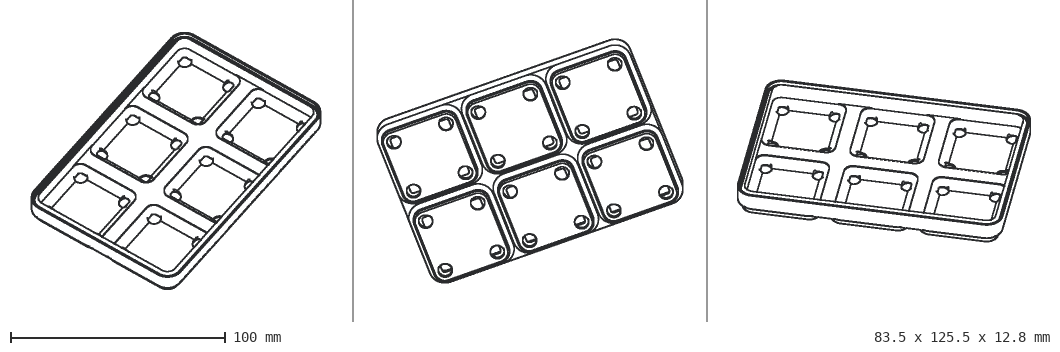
import cadquery as cq

COLUMNS = 2
ROWS = 3
FOOT_GAP = 0.5

LENGTH = 125.5
FOOT_SIZE = (LENGTH - FOOT_GAP * (ROWS - 1)) / ROWS
PITCH = FOOT_SIZE + FOOT_GAP
WIDTH = COLUMNS * PITCH - FOOT_GAP
HEIGHT = 12.8
CORNER_RADIUS = 7.5

FOOT_BOTTOM_CHAMFER = 0.8
FOOT_BAND = 1.9
FOOT_TOP_CHAMFER = 2.1
FOOT_HEIGHT = FOOT_BOTTOM_CHAMFER + FOOT_BAND + FOOT_TOP_CHAMFER

WALL = 3.3
POCKET_FLOOR_Z = 1.0
POCKET_SLOPE = 4.0
POCKET_STEP = 0.5
POCKET_SLOPE_TOP_Z = POCKET_FLOOR_Z + POCKET_SLOPE
CAVITY_FLOOR_Z = POCKET_SLOPE_TOP_Z + POCKET_STEP

RIM_THICKNESS = 0.8
GROOVE_FLOOR_WIDTH = 0.8
GROOVE_DEPTH = 2.0

RECESS_DIAMETER = 6.5
RECESS_DEPTH = 2.0
RECESS_INSET = 7.8
RECESS_SPACING = FOOT_SIZE - 2 * RECESS_INSET


def rounded_block(length_x, length_y, z, height, bottom_inset, top_inset):
    """Round-cornered block whose outline is inset by one amount at the bottom and another at the top."""

    def outline(inset, level):
        sketch = cq.Sketch().rect(length_x - 2 * inset, length_y - 2 * inset)
        sketch = sketch.vertices().fillet(CORNER_RADIUS - inset)
        return sketch.moved(cq.Location(cq.Vector(0, 0, level)))

    outlines = [outline(bottom_inset, z), outline(top_inset, z + height)]
    return cq.Workplane("XY").placeSketch(*outlines).loft()


def tray_block(z, height, bottom_inset, top_inset):
    return rounded_block(WIDTH, LENGTH, z, height, bottom_inset, top_inset)


def foot_block(z, height, bottom_inset, top_inset):
    return rounded_block(FOOT_SIZE, FOOT_SIZE, z, height, bottom_inset, top_inset)


def at_each_foot(shape):
    """Copies of a shape, modelled about the origin, at every foot position."""
    solid = shape.val()
    grid = cq.Workplane("XY").rarray(PITCH, PITCH, COLUMNS, ROWS)
    return grid.eachpoint(lambda place: solid.moved(place))


def make_foot():
    band_inset = FOOT_TOP_CHAMFER
    base_inset = band_inset + FOOT_BOTTOM_CHAMFER
    band_top_z = FOOT_BOTTOM_CHAMFER + FOOT_BAND
    base = foot_block(0, FOOT_BOTTOM_CHAMFER, base_inset, band_inset)
    band = foot_block(FOOT_BOTTOM_CHAMFER, FOOT_BAND, band_inset, band_inset)
    flare = foot_block(band_top_z, FOOT_TOP_CHAMFER, band_inset, 0)
    return base.union(band).union(flare)


def make_pocket():
    sloped_part = foot_block(POCKET_FLOOR_Z, POCKET_SLOPE, WALL + POCKET_SLOPE, WALL)
    upright_part = foot_block(POCKET_SLOPE_TOP_Z, POCKET_STEP, WALL, WALL)
    return sloped_part.union(upright_part)


def make_groove():
    floor_z = HEIGHT - GROOVE_DEPTH
    ridge_foot_inset = RIM_THICKNESS + GROOVE_FLOOR_WIDTH
    inside_rim = tray_block(floor_z, GROOVE_DEPTH, RIM_THICKNESS, RIM_THICKNESS)
    ridge = tray_block(floor_z, GROOVE_DEPTH, ridge_foot_inset, WALL)
    return inside_rim.cut(ridge)


def make_recesses():
    """All recesses, four under every foot."""
    corners = cq.Workplane("XY").rarray(RECESS_SPACING, RECESS_SPACING, 2, 2).vals()
    recess = cq.Solid.makeCylinder(RECESS_DIAMETER / 2, RECESS_DEPTH)
    solids = []
    for corner in corners:
        moved = cq.Workplane(recess.moved(corner))
        solids.extend(at_each_foot(moved).vals())
    return cq.Workplane(cq.Compound.makeCompound(solids))


body = tray_block(FOOT_HEIGHT, HEIGHT - FOOT_HEIGHT, 0, 0).union(at_each_foot(make_foot()))
cavity = tray_block(CAVITY_FLOOR_Z, HEIGHT - CAVITY_FLOOR_Z, WALL, WALL)
result = body.cut(cavity).cut(at_each_foot(make_pocket())).cut(make_groove()).cut(make_recesses()).clean()